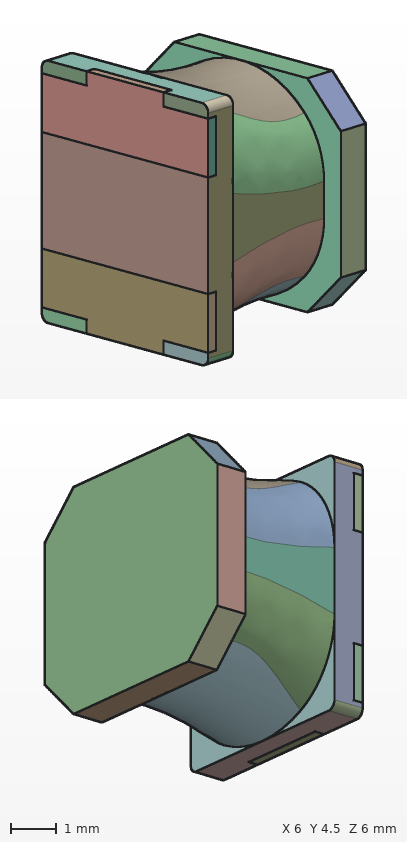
import cadquery as cq

total_depth = 4.5
plate_thickness = 0.8

base_width = 5.0
base_height = 6.0
base_corner_radius = 0.2

back_width = 6.0
back_height = 5.35
back_chamfer = 1.0

terminal_depth = 0.25
terminal_inner_z = 1.33
terminal_edge_margin = 0.325
tab_width = 2.31

throat_radius = 2.665
throat_offset = 0.6
core_edge_radius = 2.07

front_y = -total_depth / 2
back_y = total_depth / 2
core_front_y = front_y + plate_thickness
core_back_y = back_y - plate_thickness
throat_y = core_back_y - throat_offset
core_front_radius = base_height / 2
core_back_radius = back_height / 2


def block(width, height, y_start, depth, z_center=0):
    """Box centred on X, reaching from y_start towards +Y."""
    return cq.Workplane("XY").box(width, depth, height).translate((0, y_start + depth / 2, z_center))


def make_terminal(side):
    """T-shaped plate: a full-width strip with a central tab to the plate edge; side is +1 or -1 in Z."""
    half_height = base_height / 2
    strip_height = half_height - terminal_edge_margin - terminal_inner_z
    tab_height = half_height - terminal_inner_z
    strip = block(
        base_width, strip_height, front_y, terminal_depth, side * (terminal_inner_z + strip_height / 2)
    )
    tab = block(
        tab_width, tab_height, front_y, terminal_depth, side * (terminal_inner_z + tab_height / 2)
    )
    return strip.union(tab).solids()


def make_base_plate(terminals):
    """Rounded plate with a matching recess for each terminal."""
    plate = block(base_width, base_height, front_y, plate_thickness)
    plate = plate.edges("|Y").fillet(base_corner_radius)
    for terminal in terminals:
        plate = plate.cut(terminal)
    return plate.solids()


def make_back_plate():
    plate = block(back_width, back_height, core_back_y, plate_thickness)
    return plate.edges("|Y").chamfer(back_chamfer).solids()


def make_core():
    """Waisted drum flattened at both X sides, with its long edges rounded."""
    drum = (
        cq.Workplane("XY")
        .moveTo(0, core_front_y)
        .lineTo(core_front_radius, core_front_y)
        .threePointArc((throat_radius, throat_y), (core_back_radius, core_back_y))
        .lineTo(0, core_back_y)
        .close()
        .revolve(360, (0, 0, 0), (0, 1, 0))
    )
    core_depth = core_back_y - core_front_y
    flattened = drum.intersect(block(base_width, base_height, core_front_y, core_depth))
    long_edges = flattened.faces("<X or >X").edges("not |Z")
    return long_edges.fillet(core_edge_radius).solids()


terminals = [make_terminal(side) for side in (1, -1)]
base_plate = make_base_plate(terminals)
back_plate = make_back_plate()
core = make_core()

result = cq.Compound.makeCompound(
    [base_plate.val(), back_plate.val(), core.val(), *[terminal.val() for terminal in terminals]]
)